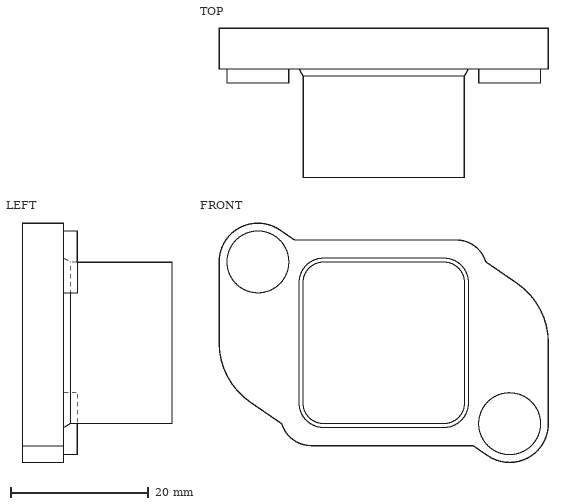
import cadquery as cq
import math

length = 48.0
height = 34.9
total_depth = 21.8
plate_thickness = 6.0
plate_back = total_depth / 2
plate_front = plate_back - plate_thickness

ear_radius = 5.65
ear_x = length / 2 - ear_radius
ear_z = height / 2 - ear_radius
shoulder_radius = 10.5
shoulder_x = length / 2 - shoulder_radius
flat_z = 30.0 / 2
corner_radius = 4.5
corner_x = 10.55
notch_radius = 0.5
slope = math.radians(34.5)

pad_radius = 4.5
pad_height = 2.0

block_side = 23.5
block_corner_radius = 3.0
foot_height = 1.0
foot_overhang = 0.6


def on_circle(x, z, radius, angle):
    """Point on a circle, with the angle measured from +X towards +Z."""
    return (x + radius * math.cos(angle), z + radius * math.sin(angle))


def same_place(point):
    return point


def half_turn(point):
    return (-point[0], -point[1])


def make_plate():
    normal = math.pi / 2 - slope
    corner_z = flat_z - corner_radius

    ear_tangent = on_circle(-ear_x, ear_z, ear_radius, normal)
    flat_start = (ear_tangent[0] + (ear_tangent[1] - flat_z) / math.tan(slope), flat_z)

    edge_distance = shoulder_radius - (
        (corner_x - shoulder_x) * math.cos(normal) + corner_z * math.sin(normal)
    )
    corner_end_angle = normal - math.acos(edge_distance / corner_radius)
    corner_mid_angle = (math.pi / 2 + corner_end_angle) / 2
    corner_mid = on_circle(corner_x, corner_z, corner_radius, corner_mid_angle)
    corner_end = on_circle(corner_x, corner_z, corner_radius, corner_end_angle)

    ear_start = (-length / 2, ear_z)
    ear_mid = on_circle(-ear_x, ear_z, ear_radius, (math.pi + normal) / 2)
    shoulder_start = on_circle(shoulder_x, 0, shoulder_radius, normal)
    shoulder_mid = on_circle(shoulder_x, 0, shoulder_radius, normal / 2)
    shoulder_end = (length / 2, 0)

    outline = cq.Workplane("XZ", origin=(0, plate_back, 0)).moveTo(*half_turn(shoulder_end))
    for place in (same_place, half_turn):
        outline = (
            outline.lineTo(*place(ear_start))
            .threePointArc(place(ear_mid), place(ear_tangent))
            .lineTo(*place(flat_start))
            .lineTo(*place((corner_x, flat_z)))
            .threePointArc(place(corner_mid), place(corner_end))
            .lineTo(*place(shoulder_start))
            .threePointArc(place(shoulder_mid), place(shoulder_end))
        )
    plate = outline.close().extrude(plate_thickness)

    for notch in (flat_start, corner_end):
        for x, z in (notch, half_turn(notch)):
            middle = (x, plate_back - plate_thickness / 2, z)
            plate = plate.edges(cq.NearestToPointSelector(middle)).fillet(notch_radius)
    return plate


def make_pads():
    return (
        cq.Workplane("XZ", origin=(0, plate_front, 0))
        .pushPoints([(-ear_x, ear_z), (ear_x, -ear_z)])
        .circle(pad_radius)
        .extrude(pad_height)
    )


def rounded_prism(side, radius, depth, taper=0):
    return (
        cq.Workplane("XZ", origin=(0, plate_front, 0))
        .sketch()
        .rect(side, side)
        .vertices()
        .fillet(radius)
        .finalize()
        .extrude(depth, taper=taper)
    )


def make_block():
    block = rounded_prism(block_side, block_corner_radius, total_depth - plate_thickness)
    foot = rounded_prism(
        block_side + 2 * foot_overhang,
        block_corner_radius + foot_overhang,
        foot_height,
        math.degrees(math.atan2(foot_overhang, foot_height)),
    )
    return block.union(foot)


result = make_plate().union(make_pads()).union(make_block())